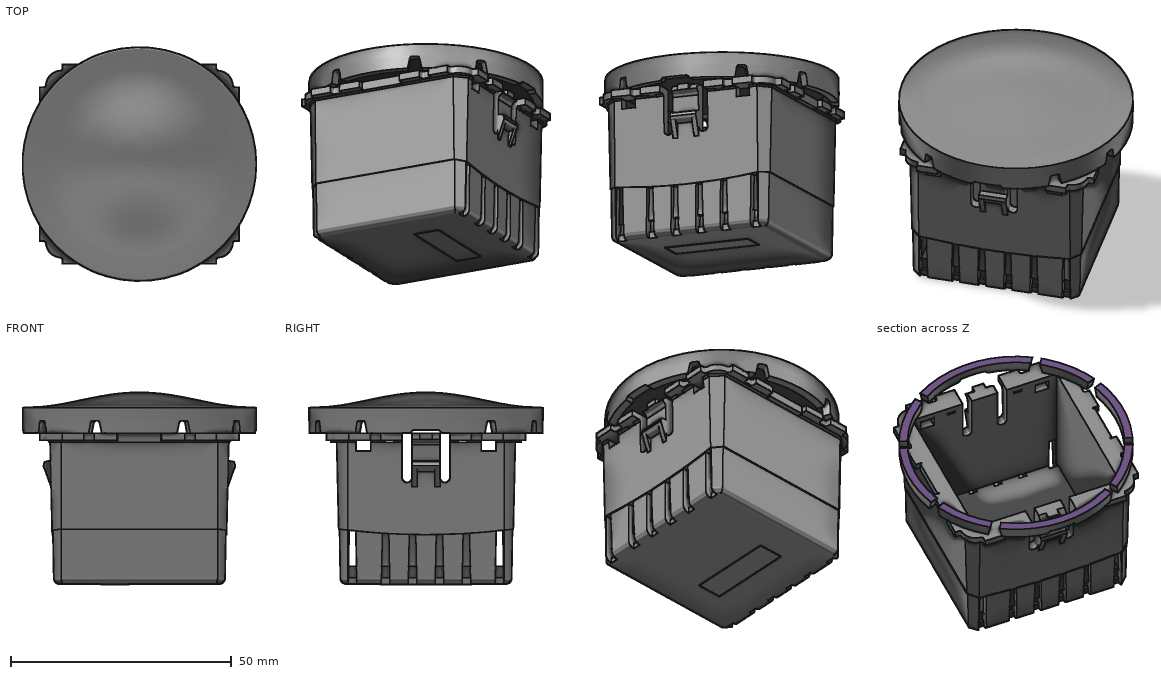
import cadquery as cq

CAP_R = 26.5
CAP_BOTTOM_R = 26.45
CAP_BOTTOM_Z = 34.35
CAP_DRAFT_Z = 37.3
CAP_RIM_Z = 40.2
CAP_TOP_Z = 43.6
RIM_EDGE = 0.4
RIM_EDGE_H = 0.1
CAP_WALL = 1.9
CAP_ROOF_Z = 38.15
NOTCH_ANGLES = (22.3, 56.2)
NOTCH_BOTTOM_W = 3.2
NOTCH_TOP_W = 2.0
NOTCH_R = 0.65
NOTCH_TOP_Z = 37.15
CAP_WINDOW_BOTTOM = 3.6
CAP_WINDOW_TOP = 2.9
CAP_WINDOW_Z = 35.05

PAD_H = 0.15
PAD_X = (-8.65, -2.45)
PAD_HALF_Y = 10.3
BASE_Z = PAD_H
BOTTOM_HALF = 19.4
BOTTOM_EDGE = 1.5
STEP_Z = 12.7
STEP_MIDDLE_Z = 11.4
STEP_HALF = 19.6
STEP_OFFSET = 0.15
WALL_TOP_Z = 32.35
TOP_HALF = 20.25
FLAT_HALF = 17.7
WALL = 1.6
CAVITY_Z = 4.25

PLINTH_HALF = 20.65
FLANGE_Z = 32.75
FLANGE_TOP_Z = CAP_BOTTOM_Z
FLANGE_HALF = 21.2
FLANGE_CORNER = 3.6
LUG_HALF = 22.6
CORNER_LUG = (12.6, 17.45)
MIDDLE_LUG = (5.1, 10.25)
LUG_ROOT_R = 0.5
CENTRE_PLATE_HALF = 4.9
CENTRE_PLATE_OUT = 21.5

SLOT_OUTER = 5.4
SLOT_INNER = 3.2
SLOT_END_Z = 23.2
WINDOW_Y = (12.5, 15.8)
WINDOW_BOTTOM_Z = 30.35
GAP_Y = (7.25, 9.15)

LIP_OUT = 21.5
LIP_Z = 33.0
TAB_OUT = 21.75
TAB_HALF = 1.4
HOOK_TOP_Z = 28.15
HOOK_NOSE_OUT = 21.75
HOOK_NOSE_Z = 27.05
HOOK_BAR_Z = 25.6
HOOK_NOSE_EASE = 0.25
HOOK_END_OUT = 20.05
HOOK_END_Z = 22.25
GUSSET_W = 1.15

SLIT_PITCH = 6.1
INNER_SLIT_Y = [SLIT_PITCH * (i - 1.5) for i in range(4)]
OUTER_SLIT_Y = 16.65
SLIT_BOTTOM_W = 1.95
SLIT_TOP_W = 1.45
SLIT_DEPTH = 1.15
SLIT_FOOT_Z = 1.6
SLIT_FOOT_DEPTH = 1.6
SLIT_POCKET_DEPTH = 2.4

REACH = 31.8
ROOT_TOLERANCE = 0.025


def box(x, y, z):
    """Box from (low, high) pairs along the three axes."""
    return cq.Workplane("XY").box(
        x[1] - x[0], y[1] - y[0], z[1] - z[0], centered=False
    ).translate((x[0], y[0], z[0]))


def both_x_sides(shape):
    """The shape with its mirror image across the YZ plane."""
    return shape.union(shape.mirror("YZ"))


def cut_square(half):
    """Corner points of a square with cut corners."""
    flat = FLAT_HALF
    return [
        (half, -flat), (half, flat), (flat, half), (-flat, half),
        (-half, flat), (-half, -flat), (-flat, -half), (flat, -half),
    ]


def tapered_block(z0, half0, z1, half1):
    """Square block with cut corners, drafted from z0 to z1."""
    return (
        cq.Workplane("XY", origin=(0, 0, z0))
        .polyline(cut_square(half0)).close()
        .workplane(offset=z1 - z0)
        .polyline(cut_square(half1)).close()
        .loft(ruled=True, combine=True)
    )


def cap_blank():
    """Revolved shell: a bell-shaped top, level at its centre and at the rim."""
    dome_r = CAP_R - RIM_EDGE
    rise = CAP_TOP_Z - CAP_RIM_Z
    inflection = (dome_r / 2, CAP_RIM_Z + rise / 2)
    inner_r = CAP_BOTTOM_R - CAP_WALL
    return (
        cq.Workplane("XZ")
        .moveTo(0, CAP_ROOF_Z)
        .lineTo(inner_r, CAP_ROOF_Z)
        .lineTo(inner_r, CAP_BOTTOM_Z)
        .lineTo(CAP_BOTTOM_R, CAP_BOTTOM_Z)
        .lineTo(CAP_R, CAP_DRAFT_Z)
        .lineTo(CAP_R, CAP_RIM_Z - RIM_EDGE_H)
        .lineTo(dome_r, CAP_RIM_Z)
        .spline([inflection, (0, CAP_TOP_Z)], tangents=[(-1, 0), (-1, 0)], includeCurrent=True)
        .close()
        .revolve(360, (0, 0, 0), (0, 1, 0))
    )


def notch(angle):
    """Tapered cutter through the cap wall, at an angle from the Y axis."""
    bottom = NOTCH_BOTTOM_W / 2
    top = NOTCH_TOP_W / 2
    cutter = (
        cq.Workplane("XZ")
        .polyline([(-bottom, CAP_BOTTOM_Z), (bottom, CAP_BOTTOM_Z), (top, NOTCH_TOP_Z), (-top, NOTCH_TOP_Z)])
        .close()
        .extrude(-REACH)
        .edges("|Y and >Z").fillet(NOTCH_R)
    )
    return cutter.rotate((0, 0, 0), (0, 0, 1), angle)


def cap_windows():
    """Openings through the cap wall above both clips."""
    return (
        cq.Workplane("YZ")
        .polyline([
            (-CAP_WINDOW_BOTTOM, CAP_BOTTOM_Z), (CAP_WINDOW_BOTTOM, CAP_BOTTOM_Z),
            (CAP_WINDOW_TOP, CAP_WINDOW_Z), (-CAP_WINDOW_TOP, CAP_WINDOW_Z),
        ])
        .close()
        .extrude(REACH, both=True)
    )


def make_cap():
    """Cap with its clip windows and eight notches."""
    cap = cap_blank().cut(cap_windows())
    for angle in NOTCH_ANGLES:
        for placed in (angle, -angle, 180 - angle, 180 + angle):
            cap = cap.cut(notch(placed))
    return cap


def lower_walls():
    """Lower part of the box, with a rounded bottom edge."""
    block = tapered_block(BASE_Z, BOTTOM_HALF, STEP_Z, STEP_HALF)
    return block.faces("<Z").edges().fillet(BOTTOM_EDGE)


def upper_walls():
    """Upper part, a little wider, whose lower edge bows down on the X sides."""
    half = STEP_HALF + STEP_OFFSET
    block = tapered_block(STEP_MIDDLE_Z, half, WALL_TOP_Z, TOP_HALF)
    outline = (
        cq.Workplane("YZ")
        .moveTo(-TOP_HALF, STEP_Z)
        .threePointArc((0, STEP_MIDDLE_Z), (TOP_HALF, STEP_Z))
        .lineTo(TOP_HALF, WALL_TOP_Z)
        .lineTo(-TOP_HALF, WALL_TOP_Z)
        .close()
        .extrude(REACH, both=True)
    )
    return block.intersect(outline)


def lugs():
    """Two sizes of lug, mirrored along all four sides of the flange."""
    shapes = None
    for span in (CORNER_LUG, MIDDLE_LUG):
        for y in (span, (-span[1], -span[0])):
            bar = box((-LUG_HALF, LUG_HALF), y, (FLANGE_Z, FLANGE_TOP_Z))
            pair = bar.union(bar.rotate((0, 0, 0), (0, 0, 1), 90))
            shapes = pair if shapes is None else shapes.union(pair)
    return shapes


def is_lug_root(edge):
    """True for the upright inner corners where a lug leaves the flange side."""
    centre = edge.Center()
    along, out = sorted((abs(centre.x), abs(centre.y)))
    roots = (MIDDLE_LUG[1], *CORNER_LUG)
    return abs(out - FLANGE_HALF) < ROOT_TOLERANCE and any(
        abs(along - root) < ROOT_TOLERANCE for root in roots
    )


def flange():
    """Plate with round corners and lugs, on a drafted plinth."""
    side = (-FLANGE_HALF, FLANGE_HALF)
    plate = box(side, side, (FLANGE_Z, FLANGE_TOP_Z)).edges("|Z").fillet(FLANGE_CORNER)
    plate = plate.union(lugs())
    roots = plate.edges("|Z").filter(is_lug_root)
    plate = plate.newObject(roots.vals()).fillet(LUG_ROOT_R)
    centre_plate = box(
        (-CENTRE_PLATE_HALF, CENTRE_PLATE_HALF),
        (-CENTRE_PLATE_OUT, CENTRE_PLATE_OUT),
        (WALL_TOP_Z, FLANGE_TOP_Z),
    )
    plinth = tapered_block(WALL_TOP_Z, TOP_HALF, FLANGE_Z, PLINTH_HALF)
    return plate.union(centre_plate).union(plinth)


def cavity():
    """Inside of the box, open at the top."""
    side = (WALL - BOTTOM_HALF, BOTTOM_HALF - WALL)
    return box(side, side, (CAVITY_Z, FLANGE_TOP_Z))


def clip_clearance():
    """Openings through both X walls: round-ended slots, and all of the flange between."""
    width = SLOT_OUTER - SLOT_INNER
    middle = (SLOT_OUTER + SLOT_INNER) / 2
    cuts = box((-REACH, REACH), (-SLOT_OUTER, SLOT_OUTER), (WALL_TOP_Z, FLANGE_TOP_Z))
    for y in (-middle, middle):
        end_z = SLOT_END_Z + width / 2
        slot = box((-REACH, REACH), (y - width / 2, y + width / 2), (end_z, WALL_TOP_Z))
        round_end = cq.Workplane("YZ").center(y, end_z).circle(width / 2).extrude(REACH, both=True)
        cuts = cuts.union(slot).union(round_end)
    return cuts


def flange_windows():
    """Rectangular windows and narrow gaps under the flange, through both X walls."""
    cuts = None
    for (y0, y1), z0 in ((WINDOW_Y, WINDOW_BOTTOM_Z), (GAP_Y, WALL_TOP_Z)):
        for y in ((y0, y1), (-y1, -y0)):
            cut = box((-REACH, REACH), y, (z0, FLANGE_Z))
            cuts = cut if cuts is None else cuts.union(cut)
    return cuts


def clip_prism(outline):
    """Clip-wide prism from a closed outline in the XZ plane."""
    return outline.close().extrude(SLOT_INNER, both=True)


def tongue():
    """Upper end of the clip: an outward lip on a round root, with a centre tab."""
    inside = BOTTOM_HALF - WALL
    lip_root_z = LIP_Z - (LIP_OUT - TOP_HALF)
    lip = clip_prism(
        cq.Workplane("XZ")
        .moveTo(inside, FLANGE_TOP_Z)
        .lineTo(inside, lip_root_z)
        .lineTo(TOP_HALF, lip_root_z)
        .radiusArc((LIP_OUT, LIP_Z), LIP_OUT - TOP_HALF)
        .lineTo(TOP_HALF, FLANGE_TOP_Z)
    )
    tab = box((inside, TAB_OUT), (-TAB_HALF, TAB_HALF), (LIP_Z, FLANGE_TOP_Z))
    return lip.union(tab)


def hook():
    """Catch bar with a round underside, carried by two wedge-shaped gussets."""
    embed = TOP_HALF - WALL / 2
    shoulder = (HOOK_NOSE_OUT - HOOK_NOSE_EASE, HOOK_TOP_Z - HOOK_NOSE_EASE)
    nose = (HOOK_NOSE_OUT, HOOK_NOSE_Z)

    def upper_outline():
        return (
            cq.Workplane("XZ")
            .moveTo(embed, HOOK_TOP_Z)
            .lineTo(TOP_HALF, HOOK_TOP_Z)
            .lineTo(*shoulder)
            .lineTo(*nose)
        )

    bar = clip_prism(
        upper_outline()
        .radiusArc((TOP_HALF, HOOK_BAR_Z), HOOK_NOSE_OUT - TOP_HALF)
        .lineTo(embed, HOOK_BAR_Z)
    )
    wedge = clip_prism(
        upper_outline()
        .lineTo(HOOK_END_OUT, HOOK_END_Z)
        .lineTo(embed, HOOK_END_Z)
    )
    between = SLOT_INNER - GUSSET_W
    gussets = wedge.cut(box((0, REACH), (-between, between), (HOOK_END_Z, HOOK_TOP_Z)))
    return bar.union(gussets)


def slit(y, through):
    """Slit cutter for the +X lower wall, narrower upwards; it may pass through into the cavity."""
    bottom = SLIT_BOTTOM_W / 2
    top = SLIT_TOP_W / 2
    prism = (
        cq.Workplane("YZ")
        .polyline([(y - bottom, 0), (y + bottom, 0), (y + top, STEP_Z), (y - top, STEP_Z)])
        .close()
        .extrude(REACH)
    )
    across = (-REACH, REACH)
    depth = SLIT_POCKET_DEPTH if through else SLIT_DEPTH
    foot = box((BOTTOM_HALF - SLIT_FOOT_DEPTH, REACH), across, (0, SLIT_FOOT_Z))
    pocket = box((BOTTOM_HALF - SLIT_POCKET_DEPTH, REACH), across, (SLIT_FOOT_Z, CAVITY_Z))
    upper = box((BOTTOM_HALF - depth, REACH), across, (CAVITY_Z, STEP_Z))
    return prism.intersect(foot.union(pocket).union(upper))


def pad():
    """Shallow raised pad under the floor."""
    return box(PAD_X, (-PAD_HALF_Y, PAD_HALF_Y), (0, BASE_Z))


def make_housing():
    """Box, flange and clips as one solid."""
    lower = lower_walls()
    for y in INNER_SLIT_Y:
        lower = lower.cut(both_x_sides(slit(y, through=False)))
    for y in (-OUTER_SLIT_Y, OUTER_SLIT_Y):
        lower = lower.cut(both_x_sides(slit(y, through=True)))
    housing = lower.union(upper_walls()).union(flange()).cut(cavity())
    housing = housing.cut(clip_clearance()).cut(flange_windows())
    return housing.union(both_x_sides(tongue())).union(both_x_sides(hook())).union(pad())


cap = make_cap()
housing = make_housing()
result = cq.Compound.makeCompound([housing.val(), cap.val()])